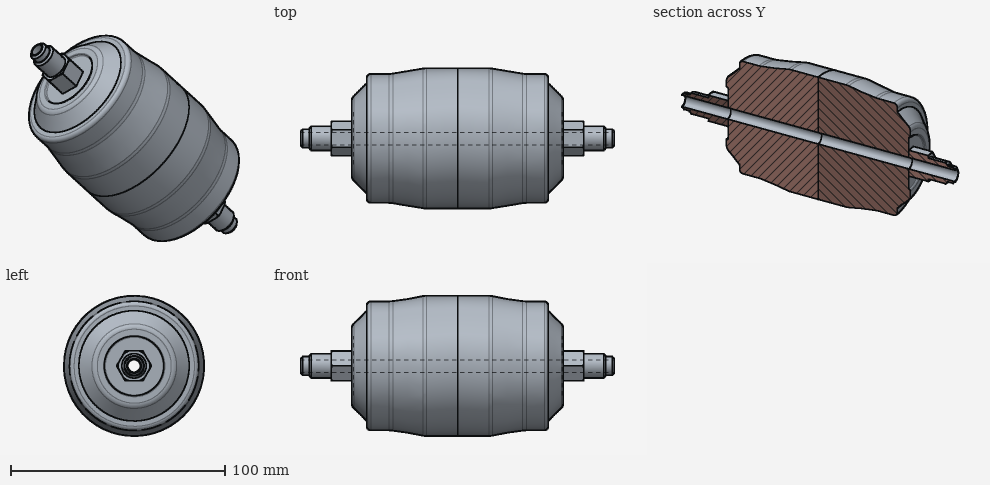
import cadquery as cq
import math


stub_tip_x = 73.1
hex_front_x = 58.9
end_face_x = 49.4
rim_face_x = 42.4
taper_foot_x = 31.1
taper_top_x = 15.4

belly_radius = 32.7
rim_radius = 30.1
rim_edge_fillet = 2.0
cone_top_radius = 18.7
cone_foot_radius = cone_top_radius + (end_face_x - rim_face_x)
cone_top_fillet = 3.5
taper_blend_radius = 10.2

recess_radius = 13.9
recess_depth = 0.9
recess_fillet = 0.42
recess_floor_x = end_face_x - recess_depth

hex_across_flats = 14.0
hex_across_corners = 2 * hex_across_flats / math.sqrt(3)
hex_trim_depth = 0.7
hex_trim_length = 0.3
stub_radius = 5.7
stub_shoulder_chamfer = 1.0
tip_radius = 4.4
tip_length = 4.0
tip_chamfer = 1.0
bore_radius = 2.9


def cylinder_along_x(radius, start_x, end_x):
    """A solid cylinder on the X axis from start_x to end_x."""
    return cq.Workplane("YZ", origin=(start_x, 0, 0)).circle(radius).extrude(end_x - start_x)


def revolve_about_x(outline):
    """The solid swept by a closed outline of (x, radius) points turning about the X axis."""
    return cq.Workplane("XY").polyline(outline).close().revolve(360, (0, 0, 0), (1, 0, 0))


def round_circle(body, x, radius, fillet_radius):
    """Fillet the circular edge of the given radius that lies at x on the X axis."""
    tolerance = 0.001

    def matches(edge):
        return abs(edge.Center().x - x) < tolerance and abs(edge.radius() - radius) < tolerance

    return body.edges("%CIRCLE").filter(matches).fillet(fillet_radius)


def make_half_shell():
    """The half shell on the +X side, with the recess for its fitting and the bore."""
    outline = [
        (0, 0),
        (0, belly_radius),
        (taper_top_x, belly_radius),
        (taper_foot_x, rim_radius),
        (rim_face_x, rim_radius),
        (rim_face_x, cone_foot_radius),
        (end_face_x, cone_top_radius),
        (end_face_x, 0),
    ]
    shell = revolve_about_x(outline)

    shell = round_circle(shell, taper_top_x, belly_radius, taper_blend_radius)
    shell = round_circle(shell, taper_foot_x, rim_radius, taper_blend_radius)
    shell = round_circle(shell, rim_face_x, rim_radius, rim_edge_fillet)
    shell = round_circle(shell, end_face_x, cone_top_radius, cone_top_fillet)

    shell = shell.cut(cylinder_along_x(recess_radius, recess_floor_x, end_face_x))
    shell = round_circle(shell, end_face_x, recess_radius, recess_fillet)
    shell = round_circle(shell, recess_floor_x, recess_radius, recess_fillet)

    bore = cylinder_along_x(bore_radius, 0, end_face_x)
    return shell.cut(bore)


def make_fitting():
    """The fitting on the +X side: hexagon and stepped stub, bored through."""
    hexagon = (
        cq.Workplane("YZ", origin=(recess_floor_x, 0, 0))
        .polygon(6, hex_across_corners)
        .extrude(hex_front_x - recess_floor_x)
    )
    corner_radius = hex_across_corners / 2
    trim_outline = [
        (recess_floor_x, 0),
        (recess_floor_x, corner_radius),
        (hex_front_x - hex_trim_length, corner_radius),
        (hex_front_x, corner_radius - hex_trim_depth),
        (hex_front_x, 0),
    ]
    corner_trim = revolve_about_x(trim_outline)
    hexagon = hexagon.intersect(corner_trim)

    stub = (
        cylinder_along_x(stub_radius, hex_front_x, stub_tip_x - tip_length)
        .faces(">X")
        .chamfer(stub_shoulder_chamfer)
    )
    tip = (
        cylinder_along_x(tip_radius, stub_tip_x - tip_length, stub_tip_x)
        .faces(">X")
        .chamfer(tip_chamfer)
    )
    bore = cylinder_along_x(bore_radius, recess_floor_x, stub_tip_x)
    return hexagon.union(stub).union(tip).cut(bore)


bodies = []
for make_body in (make_half_shell, make_fitting):
    body = make_body()
    bodies.append(body.val())
    bodies.append(body.mirror("YZ").val())

result = cq.Compound.makeCompound(bodies)